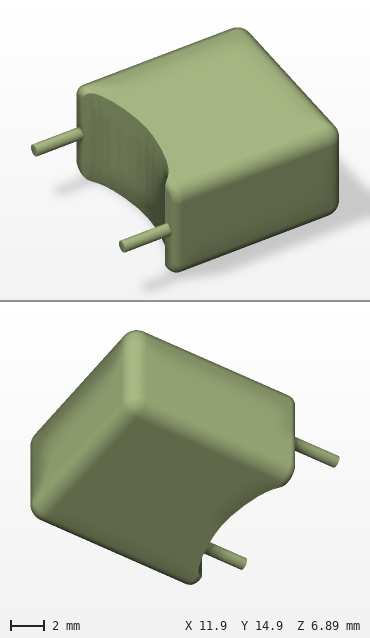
import cadquery as cq

total_length = 14.91
body_width = 11.95
body_height = 6.89
lead_length = 3.18
body_length = total_length - lead_length

main_radius = 1.0
lead_end_radius = 0.5

lead_diameter = 0.76
lead_spacing = 10.29

recess_half_width = 4.77
recess_depth = 1.57
shoulder_x = 3.49
shoulder_depth = 0.94
crown_x = 1.68
crown_depth = 1.4
flank_x = 4.35
flank_depth = 0.48


def make_recess():
    """Full-height cutter: half of the smooth profile, mirrored about X = 0."""
    flank_points = [
        (crown_x, crown_depth),
        (shoulder_x, shoulder_depth),
        (flank_x, flank_depth),
        (recess_half_width, 0),
    ]
    tangents = [cq.Vector(1, 0)] + [None] * len(flank_points)
    half = (
        cq.Workplane("XY")
        .workplane(offset=-body_height / 2)
        .moveTo(0, recess_depth)
        .spline(flank_points, tangents=tangents, includeCurrent=True)
        .lineTo(0, 0)
        .close()
        .extrude(body_height)
    )
    return half.union(half.mirror("YZ"))


def make_housing():
    """Rounded box whose lead-end face lies at Y = 0."""
    block = cq.Workplane("XY").box(
        body_width, body_length, body_height, centered=(True, False, True)
    )
    block = block.edges("|Y").fillet(main_radius)
    block = block.faces(">Y").edges().fillet(main_radius)
    block = block.faces("<Y").edges().fillet(lead_end_radius)
    return block.cut(make_recess())


def make_lead(x):
    """Round lead butting against the lead-end face of the housing."""
    return (
        cq.Workplane("XZ")
        .center(x, 0)
        .circle(lead_diameter / 2)
        .extrude(lead_length)
    )


housing = make_housing()
leads = [make_lead(side * lead_spacing / 2) for side in (-1, 1)]

result = cq.Compound.makeCompound([housing.val(), *[lead.val() for lead in leads]])